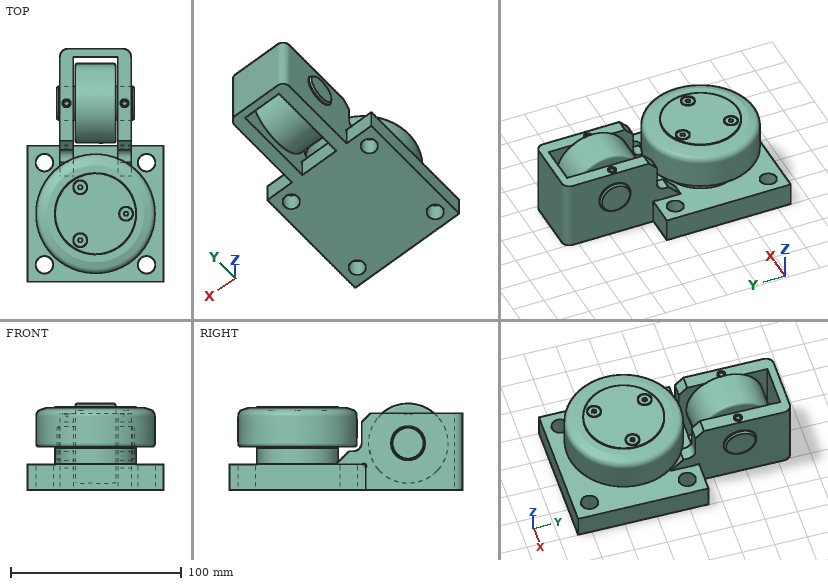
import cadquery as cq
import math


plate_side = 80.0
plate_thickness = 15.1
mount_hole_diameter = 10.1
mount_hole_spacing = 60.0

column_diameter = 48.0
column_chamfer = 0.4
neck_bottom = 25.0
roller_diameter = 70.0
roller_bottom = 25.3
roller_top = 48.5
roller_flat_diameter = 57.0
roller_cone_angle = 18.0
roller_top_radius = 4.0
roller_bottom_radius = 2.0
crown_height = 0.04
lid_diameter = 48.0
lid_top = 48.9
lid_chamfer = 0.3

lid_screw_count = 3
lid_screw_circle_radius = 18.0
lid_screw_bore_diameter = 8.4
lid_screw_head_diameter = 7.8
lid_screw_gap_depth = 0.4
lid_screw_socket_flats = 2.5
lid_screw_socket_depth = 2.0

overall_length = 137.0
fork_height = 45.2
fork_width = 42.0
fork_slot_width = 26.0
fork_back_thickness = 5.0
fork_corner_radius = 5.0
fork_front_y = 37.7
fork_top_chamfer = 5.2
ledge_height = 22.9
ledge_front_y = 30.3
ledge_fillet = 5.0
relief_radius = 1.4

set_screw_diameter = 5.0
set_screw_recess = 0.3
set_screw_socket_flats = 3.0
set_screw_socket_depth = 2.0

pin_y = 65.0
pin_diameter = 20.0
pin_hole_diameter = 20.1
pin_length = 45.8
pin_chamfer_length = 1.2
pin_chamfer_depth = 1.0
wheel_diameter = 46.9
wheel_width = 23.8
wheel_edge_radius = 1.5
wheel_axis_height = 27.5

plate_back_y = plate_side / 2
fork_back_y = overall_length - plate_back_y
fork_wall_center_x = (fork_width + fork_slot_width) / 4


def hexagon_prism(flats, depth, turn):
    """Hexagonal prism reaching down from the XY plane, turned about Z."""
    corner_diameter = flats / math.cos(math.radians(30))
    prism = cq.Workplane("XY").polygon(6, corner_diameter).extrude(-depth)
    return prism.rotate((0, 0, 0), (0, 0, 1), turn)


def make_plate():
    """Square plate with four mounting holes."""
    plate = cq.Workplane("XY").rect(plate_side, plate_side).extrude(plate_thickness)
    holes = (
        cq.Workplane("XY")
        .rect(mount_hole_spacing, mount_hole_spacing, forConstruction=True)
        .vertices()
        .circle(mount_hole_diameter / 2)
        .extrude(plate_thickness)
    )
    return plate.cut(holes)


def make_column():
    """Column chamfered at both ends, with a short neck under the roller."""
    column = (
        cq.Workplane("XY", origin=(0, 0, plate_thickness))
        .circle(column_diameter / 2)
        .extrude(neck_bottom - plate_thickness)
        .faces("<Z or >Z")
        .chamfer(column_chamfer)
    )
    neck = (
        cq.Workplane("XY", origin=(0, 0, neck_bottom))
        .circle(column_diameter / 2 - column_chamfer)
        .extrude(roller_bottom - neck_bottom)
    )
    return column.union(neck)


def make_large_roller():
    """Crowned roller with a rounded shoulder that runs into a shallow cone."""
    radius = roller_diameter / 2
    edge_radius = radius - crown_height
    flat_radius = roller_flat_diameter / 2
    slope = math.radians(roller_cone_angle)

    arc_center_r = edge_radius - roller_top_radius
    cone_end_r = arc_center_r + roller_top_radius * math.sin(slope)
    cone_end_z = roller_top - (cone_end_r - flat_radius) * math.tan(slope)
    arc_center_z = cone_end_z - roller_top_radius * math.cos(slope)
    arc_middle = (math.pi / 2 - slope) / 2
    arc_middle_r = arc_center_r + roller_top_radius * math.cos(arc_middle)
    arc_middle_z = arc_center_z + roller_top_radius * math.sin(arc_middle)

    rim_bottom = roller_bottom + roller_bottom_radius
    corner_inset = roller_bottom_radius * (1 - math.sqrt(0.5))
    return (
        cq.Workplane("XZ")
        .moveTo(0, roller_bottom)
        .lineTo(edge_radius - roller_bottom_radius, roller_bottom)
        .threePointArc((edge_radius - corner_inset, roller_bottom + corner_inset), (edge_radius, rim_bottom))
        .threePointArc((radius, (rim_bottom + arc_center_z) / 2), (edge_radius, arc_center_z))
        .threePointArc((arc_middle_r, arc_middle_z), (cone_end_r, cone_end_z))
        .lineTo(flat_radius, roller_top)
        .lineTo(0, roller_top)
        .close()
        .revolve(360, (0, 0, 0), (0, 1, 0))
    )


def make_lid():
    """Thin round lid on the flat top of the large roller."""
    return (
        cq.Workplane("XY", origin=(0, 0, roller_top))
        .circle(lid_diameter / 2)
        .extrude(lid_top - roller_top)
        .faces(">Z")
        .chamfer(lid_chamfer)
    )


def make_lid_screw_cutter():
    """Ring gap around a screw head, with the hexagon socket in the head."""
    gap = (
        cq.Workplane("XY")
        .circle(lid_screw_bore_diameter / 2)
        .circle(lid_screw_head_diameter / 2)
        .extrude(-lid_screw_gap_depth)
    )
    return gap.union(hexagon_prism(lid_screw_socket_flats, lid_screw_socket_depth, 0))


def cut_lid_screws(body):
    cutter = make_lid_screw_cutter().translate((lid_screw_circle_radius, 0, lid_top))
    for index in range(lid_screw_count):
        angle = index * 360 / lid_screw_count
        body = body.cut(cutter.rotate((0, 0, 0), (0, 0, 1), angle))
    return body


def make_fork():
    """U-shaped fork whose arms step over the rear edge of the plate."""
    ledge_toe_y = ledge_front_y - (ledge_height - plate_thickness)
    side = (
        cq.Workplane("YZ")
        .moveTo(fork_back_y, 0)
        .lineTo(fork_back_y, fork_height)
        .lineTo(fork_front_y + fork_top_chamfer, fork_height)
        .lineTo(fork_front_y, fork_height - fork_top_chamfer)
        .lineTo(fork_front_y, ledge_height + ledge_fillet)
        .radiusArc((fork_front_y - ledge_fillet, ledge_height), ledge_fillet)
        .lineTo(ledge_front_y, ledge_height)
        .lineTo(ledge_toe_y, plate_thickness)
        .lineTo(plate_back_y, plate_thickness)
        .lineTo(plate_back_y, 0)
        .close()
        .extrude(fork_width / 2, both=True)
    )
    side = side.edges("|Z and >Y").fillet(fork_corner_radius)

    slot_back_y = fork_back_y - fork_back_thickness
    slot = (
        cq.Workplane("XY")
        .center(0, slot_back_y / 2)
        .rect(fork_slot_width, slot_back_y)
        .extrude(fork_height)
    )
    pin_hole = (
        cq.Workplane("YZ")
        .center(pin_y, wheel_axis_height)
        .circle(pin_hole_diameter / 2)
        .extrude(fork_width / 2, both=True)
    )
    relief_offset = relief_radius * math.sqrt(0.5)
    relief = (
        cq.Workplane("YZ")
        .center(plate_back_y - relief_offset, plate_thickness - relief_offset)
        .circle(relief_radius)
        .extrude(fork_width / 2, both=True)
    )
    return side.cut(slot).cut(pin_hole).cut(relief)


def make_set_screw_cutter():
    """Shallow round recess above a hexagon socket with a conical floor."""
    recess = cq.Workplane("XY").circle(set_screw_diameter / 2).extrude(-set_screw_recess)
    corner_radius = set_screw_socket_flats / 2 / math.cos(math.radians(30))
    drill = (
        cq.Workplane("XZ")
        .lineTo(corner_radius, 0)
        .lineTo(corner_radius, corner_radius - set_screw_socket_depth)
        .lineTo(0, -set_screw_socket_depth)
        .close()
        .revolve(360, (0, 0, 0), (0, 1, 0))
    )
    socket = hexagon_prism(set_screw_socket_flats, set_screw_socket_depth, 30)
    return recess.union(socket.intersect(drill))


def cut_set_screws(fork):
    cutter = make_set_screw_cutter()
    for side in (-1, 1):
        fork = fork.cut(cutter.translate((side * fork_wall_center_x, pin_y, fork_height)))
    return fork


def make_carrier():
    """Plate, column, large roller and fork as one solid."""
    roller = cut_lid_screws(make_large_roller().union(make_lid()))
    fork = cut_set_screws(make_fork())
    return make_plate().union(make_column()).union(roller).union(fork)


def make_wheel_and_pin():
    """Crowned wheel fixed on the pin that runs through both fork arms."""
    radius = wheel_diameter / 2
    edge_radius = radius - crown_height
    half_width = wheel_width / 2
    half_tread = half_width - wheel_edge_radius
    corner_r = edge_radius - wheel_edge_radius
    wheel = (
        cq.Workplane("XY")
        .moveTo(-half_width, 0)
        .lineTo(-half_width, corner_r)
        .radiusArc((-half_tread, edge_radius), wheel_edge_radius)
        .threePointArc((0, radius), (half_tread, edge_radius))
        .radiusArc((half_width, corner_r), wheel_edge_radius)
        .lineTo(half_width, 0)
        .close()
        .revolve(360, (0, 0, 0), (1, 0, 0))
    )
    pin_radius = pin_diameter / 2
    pin_half_length = pin_length / 2
    pin_end_radius = pin_radius - pin_chamfer_depth
    chamfer_start = pin_half_length - pin_chamfer_length
    pin = (
        cq.Workplane("XY")
        .moveTo(-pin_half_length, 0)
        .lineTo(-pin_half_length, pin_end_radius)
        .lineTo(-chamfer_start, pin_radius)
        .lineTo(chamfer_start, pin_radius)
        .lineTo(pin_half_length, pin_end_radius)
        .lineTo(pin_half_length, 0)
        .close()
        .revolve(360, (0, 0, 0), (1, 0, 0))
    )
    return wheel.union(pin).translate((0, pin_y, wheel_axis_height))


carrier = make_carrier()
wheel_and_pin = make_wheel_and_pin()

result = cq.Compound.makeCompound([carrier.val(), wheel_and_pin.val()])